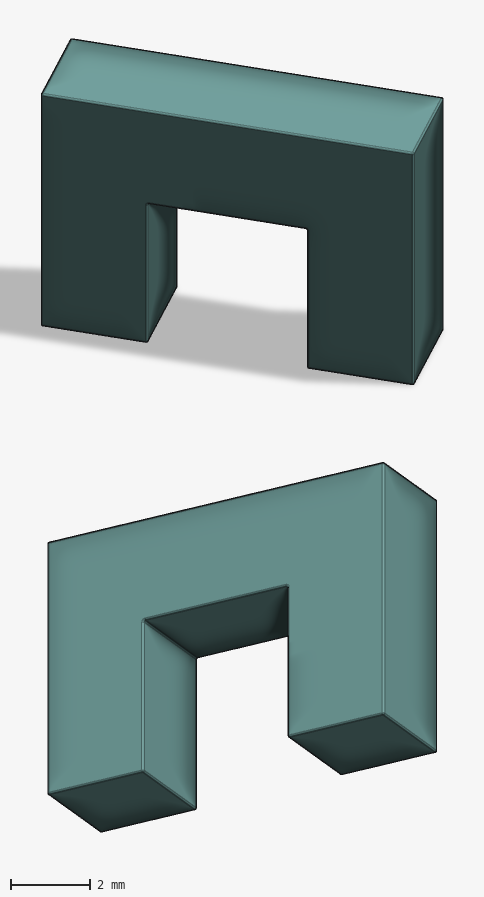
import cadquery as cq

length = 9.8
depth = 2.7
height = 7.0

bar_thickness = 2.8
edge_radius = 0.05

gap_width = length - 2 * bar_thickness
leg_height = height - bar_thickness

block = cq.Workplane("XY").box(length, depth, height, centered=(True, True, False))

gap = cq.Workplane("XY").box(gap_width, depth, leg_height, centered=(True, True, False))

result = block.cut(gap).edges().fillet(edge_radius)